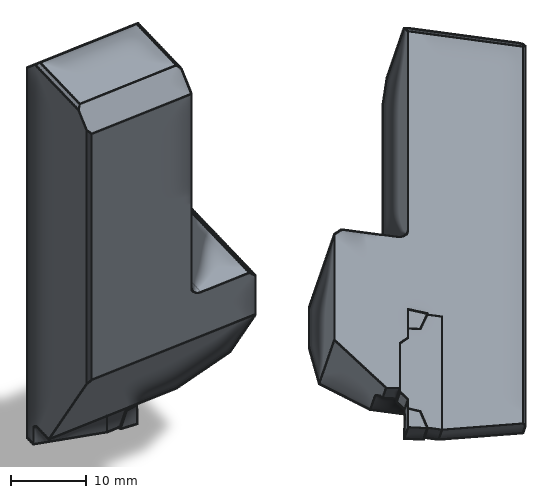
import cadquery as cq

height = 70.0
shank = 16.0
total_depth = 26.0
top_chamfer = 3.0
edge_chamfer = 0.5
ledge_z = 32.0
ledge_fillet = 1.5
block_chamfer = 1.0
block_lower_z = 13.15
block_toe_y = 19.0
block_toe_z = 6.2
block_inner_z = 6.5
front_bottom_z = 3.4

blade_thickness = 2.2
blade_shoulder_z = 7.1
blade_fillet = 1.0
shoulder_width = 6.0
side_slope_top_z = 24.35

insert_length = 19.95
insert_mid_z = insert_length / 2
insert_front_y = 11.4
insert_back_y = 17.1
insert_end_gap = 0.4
waist_half = 4.1
ridge_depth = insert_back_y - shank
head_height = 3.2
head_shoulder_y = 14.35
head_shoulder_z = 3.0
head_front_y = 13.4
head_front_z = 0.3
tip_overhang = 0.1
head_relief = 0.1
tip_width = 2.5


def side_prism(points, x_start, x_end):
    """Prism along X from an outline of (Y, Z) points."""
    return cq.Workplane("YZ").workplane(offset=x_start).polyline(points).close().extrude(x_end - x_start)


def front_prism(points):
    """Prism along Y over the full depth from an outline of (X, Z) points."""
    return cq.Workplane("XZ").polyline(points).close().extrude(-total_depth)


def make_insert():
    """Flat core with a rear ridge and a wider cutting head at each end."""
    core_top = insert_length - insert_end_gap
    core = side_prism([
        (insert_front_y, insert_end_gap),
        (shank, insert_end_gap),
        (shank, insert_mid_z - waist_half - ridge_depth),
        (insert_back_y, insert_mid_z - waist_half),
        (insert_back_y, insert_mid_z + waist_half),
        (shank, insert_mid_z + waist_half + ridge_depth),
        (shank, core_top),
        (insert_front_y, core_top),
    ], 0, blade_thickness)

    head_outline = side_prism([
        (shank, 0),
        (shank, head_height),
        (head_shoulder_y, head_shoulder_z),
        (head_front_y, head_front_z),
    ], -tip_overhang, tip_width)
    tip_end = tip_width - tip_overhang
    head_flanks = front_prism([
        (-tip_overhang, 0),
        (tip_end, 0),
        (tip_end - head_relief, head_height),
        (head_relief - tip_overhang, head_height),
    ])
    lower_head = head_outline.intersect(head_flanks)
    upper_head = lower_head.mirror("XY", (0, 0, insert_mid_z))
    return core.union(lower_head).union(upper_head)


def make_holder(insert):
    """Shank, rear block and blade, with a seat cut to the insert."""
    body = side_prism([
        (0, front_bottom_z),
        (0, height),
        (shank, height),
        (shank, ledge_z),
        (total_depth, ledge_z),
        (total_depth, block_lower_z),
        (block_toe_y, block_toe_z),
        (insert_back_y, block_inner_z),
        (insert_front_y, block_inner_z),
        (insert_front_y, insert_end_gap),
    ], 0, shank)

    body = body.edges(cq.NearestToPointSelector((shank / 2, shank, ledge_z))).fillet(ledge_fillet)
    body = body.edges(cq.NearestToPointSelector((shank / 2, total_depth, ledge_z))).chamfer(block_chamfer)

    body = body.faces(">Z").edges("|X").chamfer(edge_chamfer)
    body = body.faces("<Y").edges("|Z").chamfer(edge_chamfer)

    silhouette = front_prism([
        (0, 0),
        (0, height - top_chamfer),
        (top_chamfer, height),
        (shank - top_chamfer, height),
        (shank, height - top_chamfer),
        (shank, side_slope_top_z),
        (shoulder_width, blade_shoulder_z),
        (blade_thickness, blade_shoulder_z),
        (blade_thickness, 0),
    ])
    blade_corner = cq.NearestToPointSelector((blade_thickness, total_depth / 2, blade_shoulder_z))
    silhouette = silhouette.edges(blade_corner).fillet(blade_fillet)
    return body.intersect(silhouette).cut(insert)


insert = make_insert()
holder = make_holder(insert)
result = cq.Compound.makeCompound([holder.val(), insert.val()])